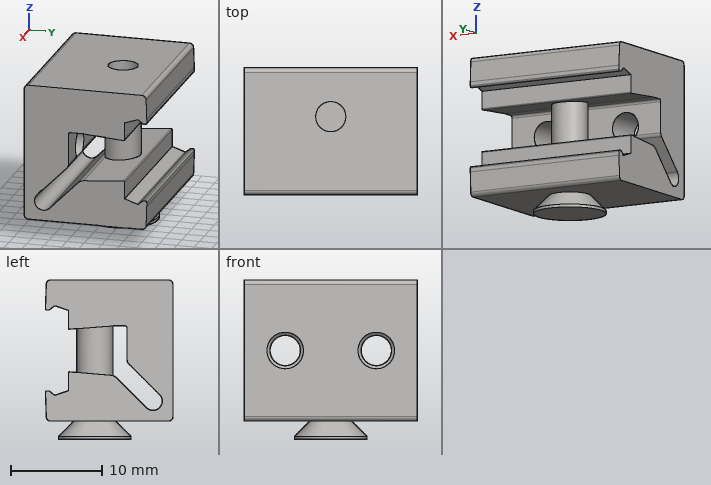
import cadquery as cq
import math

length = 19.0
depth = 14.0
height = 15.5
mid_height = height / 2
edge_radius = 0.5

lip_overhang = 0.1
lip_width = 0.42
lip_radius = 0.17
lip_half = 4.43
lip_root_half = 5.04
groove_y = 13.0
groove_half = 4.9
groove_radius = 0.15
jaw_y = 11.48
jaw_shoulder_half = 4.39
jaw_tip_half = 2.32
jaw_tip_radius = 0.11
throat_y = 6.55
throat_half = 2.7
wall_y = 5.05
throat_radius = 0.27

slot_radius = 1.0
slot_end_y = 2.2
slot_end_z = 2.2
slot_bend_radius = 0.57
slot_mouth_y = 6.42
slot_mouth_radius = 1.0

mount_spacing = 10.0
mount_diameter = 3.3
mount_countersink_diameter = 4.0

screw_y = 8.59
shank_diameter = 4.0
head_diameter = 8.0
head_protrusion = 2.0
head_rim = 0.32
screw_length = 16.0
tapped_diameter = 3.3


def make_body():
    back_y = depth - lip_overhang
    diagonal = slot_radius / math.sqrt(2)
    upper_end = (slot_end_y - diagonal, slot_end_z + diagonal)
    lower_end = (slot_end_y + diagonal, slot_end_z - diagonal)
    bend = (wall_y, upper_end[1] + wall_y - upper_end[0])
    lower_throat = (slot_mouth_y, lower_end[1] + slot_mouth_y - lower_end[0])
    lip_inner_y = depth - lip_width

    upper_lip = (depth, mid_height + lip_half)
    upper_lip_inner = (lip_inner_y, mid_height + lip_half)
    upper_groove = (groove_y, mid_height + groove_half)
    upper_jaw_tip = (jaw_y, mid_height + jaw_tip_half)
    throat_corner = (wall_y, mid_height + throat_half)
    lower_jaw_tip = (jaw_y, mid_height - jaw_tip_half)
    lower_groove = (groove_y, mid_height - groove_half)
    lower_lip_inner = (lip_inner_y, mid_height - lip_half)
    lower_lip = (depth, mid_height - lip_half)

    body = (
        cq.Workplane("YZ", origin=(-length / 2, 0, 0))
        .moveTo(0, 0)
        .lineTo(0, height)
        .lineTo(back_y, height)
        .lineTo(depth, mid_height + lip_root_half)
        .lineTo(*upper_lip)
        .lineTo(*upper_lip_inner)
        .lineTo(*upper_groove)
        .lineTo(jaw_y, mid_height + jaw_shoulder_half)
        .lineTo(*upper_jaw_tip)
        .lineTo(throat_y, mid_height + throat_half)
        .lineTo(*throat_corner)
        .lineTo(*bend)
        .lineTo(*upper_end)
        .threePointArc((slot_end_y, slot_end_z - slot_radius), lower_end)
        .lineTo(*lower_throat)
        .lineTo(*lower_jaw_tip)
        .lineTo(jaw_y, mid_height - jaw_shoulder_half)
        .lineTo(*lower_groove)
        .lineTo(*lower_lip_inner)
        .lineTo(*lower_lip)
        .lineTo(depth, mid_height - lip_root_half)
        .lineTo(back_y, 0)
        .close()
        .extrude(length)
    )
    rounded_corners = [
        ([(0, 0), (0, height), (back_y, height), (back_y, 0)], edge_radius),
        ([upper_lip, upper_lip_inner, lower_lip, lower_lip_inner], lip_radius),
        ([upper_groove, lower_groove], groove_radius),
        ([upper_jaw_tip, lower_jaw_tip], jaw_tip_radius),
        ([throat_corner], throat_radius),
        ([bend], slot_bend_radius),
        ([lower_throat], slot_mouth_radius),
    ]
    for corners, radius in rounded_corners:
        for y, z in corners:
            corner_edge = cq.selectors.NearestToPointSelector((0, y, z))
            body = body.edges(corner_edge).fillet(radius)
    return body


def make_mount_hole(x):
    radius = mount_diameter / 2
    mouth_radius = mount_countersink_diameter / 2
    countersink_depth = mouth_radius - radius
    reach = (wall_y + throat_y) / 2
    return (
        cq.Workplane("XY")
        .polyline([
            (0, 0),
            (mouth_radius, 0),
            (radius, countersink_depth),
            (radius, reach),
            (0, reach),
        ])
        .close()
        .revolve(360, (0, 0), (0, 1))
        .translate((x, 0, mid_height))
    )


def make_screw():
    head_radius = head_diameter / 2
    shank_radius = shank_diameter / 2
    rim_z = head_rim - head_protrusion
    neck_z = rim_z + head_radius - shank_radius
    tip_z = screw_length - head_protrusion
    return (
        cq.Workplane("XZ")
        .polyline([
            (0, -head_protrusion),
            (head_radius, -head_protrusion),
            (head_radius, rim_z),
            (shank_radius, neck_z),
            (shank_radius, tip_z),
            (0, tip_z),
        ])
        .close()
        .revolve(360, (0, 0), (0, 1))
        .translate((0, screw_y, 0))
    )


result = make_body()
for side in (-1, 1):
    result = result.cut(make_mount_hole(side * mount_spacing / 2))

tapped_hole = cq.Workplane("XY").center(0, screw_y).circle(tapped_diameter / 2).extrude(height)
result = result.cut(tapped_hole).union(make_screw())